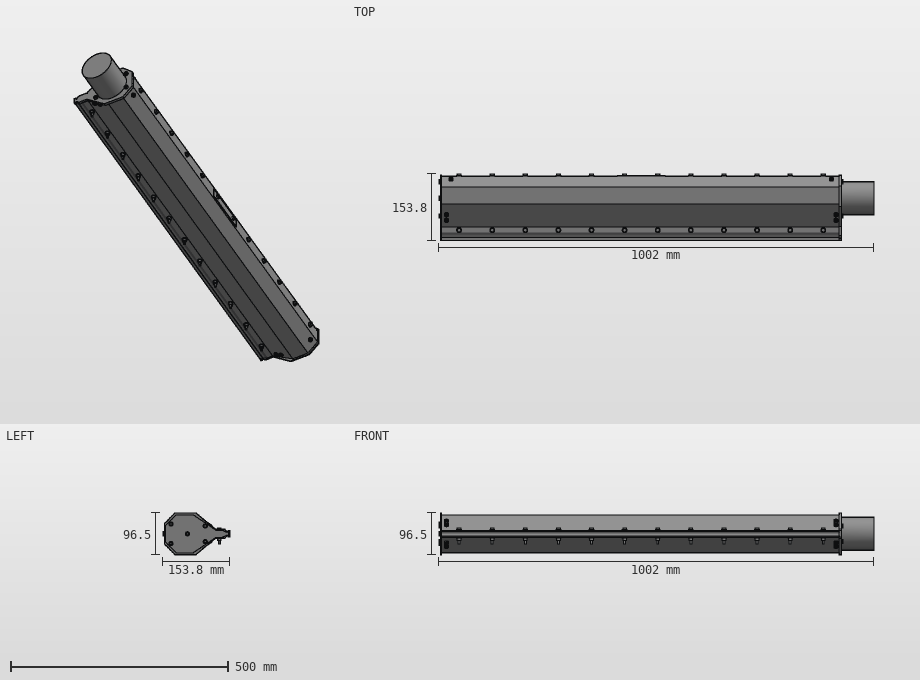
import cadquery as cq
import math


closed_plate_thickness = 2.3
open_plate_thickness = 5.9
body_length = 915.0
tube_diameter = 76.2
tube_end_x = 998.23
body_start = closed_plate_thickness
body_end = body_start + body_length
open_plate_outer = body_end + open_plate_thickness

fittings_shift = 2.1
fittings_centre_x = body_start + body_length / 2 + fittings_shift

front_y = -97.8
screw_joint_y = -73.5

body_back_y = 51.0
body_half_height = 43.7
body_bevel = 25.2
body_slope_top_y = -13.4
body_slope_foot_y = -66.0
body_lip_half = 8.0
body_shoulder_y = -80.0
body_shoulder_width = 2.5
body_shoulder_drop = 0.8
body_neck_y = -91.0
body_neck_half = 3.2
body_nose_half = 4.8
mouth_diameter = 10.5

plate_back_y = 53.0
plate_half_height = 48.26
plate_bevel = 24.5
plate_slope_top_y = -19.5
plate_slope_foot_y = -64.8
plate_lip_half = 10.5
plate_lip_end_y = -86.0
plate_neck_start_y = -91.5
plate_neck_end_y = -93.5
plate_neck_half = 4.5
plate_nose_half = 7.5

head_diameter = 9.5
head_height = 3.8
socket_across_flats = 4.8
socket_depth = 2.0
washer_diameter = 11.0
washer_thickness = 1.5
head_root = 2.0
back_head_top_y = 55.96

row_count = 12
row_pitch = 76.2
row_start_x = fittings_centre_x - (row_count - 1) * row_pitch / 2
lip_head_diameter = 8.5
lip_head_height = 5.5
nut_diameter = 8.5
nut_height = 7.0
stud_diameter = 4.5
stud_end_z = -24.0

slope_screw_span = 896.4
slope_screw_ys = (-36.8, -50.0)
bevel_screw_span = 875.4
bevel_screw_y = 42.5

plate_back_screw = (38.0, 22.5)
plate_front_screw = (-41.0, 18.0)

label_length = 110.0
label_height = 25.0
label_thickness = 1.5


def extrude_symmetric(upper_half, x_start, length):
    """Mirror an upper-half outline about Z = 0 and extrude it along X."""
    lower_half = [(y, -z) for y, z in reversed(upper_half) if z > 0]
    outline = upper_half + lower_half
    return cq.Workplane("YZ", origin=(x_start, 0, 0)).polyline(outline).close().extrude(length)


def cylinder(base, direction, diameter, height):
    return cq.Workplane(
        cq.Solid.makeCylinder(diameter / 2, height, cq.Vector(*base), cq.Vector(*direction))
    )


def along(start, direction, distance):
    return tuple(point + distance * step for point, step in zip(start, direction))


def socket_screw(seat, outward):
    """Hex-socket head standing on a face, with a short root that joins it to the face."""
    head = cylinder(along(seat, outward, -head_root), outward, head_diameter, head_height + head_root)
    top = cq.Plane(origin=along(seat, outward, head_height), normal=outward)
    across_corners = socket_across_flats / math.cos(math.radians(30))
    socket = cq.Workplane(top).polygon(6, across_corners).extrude(-socket_depth)
    return head.cut(socket)


def washer(seat, outward):
    """Washer lying on a face, with a short root that joins it to the face."""
    base = along(seat, outward, -head_root)
    return cylinder(base, outward, washer_diameter, washer_thickness + head_root)


def span_ends(span):
    return (fittings_centre_x - span / 2, fittings_centre_x + span / 2)


def make_body():
    """Duct housing tapering to a nose with a rounded groove along its front."""
    upper_half = [
        (body_back_y, body_half_height - body_bevel),
        (body_back_y - body_bevel, body_half_height),
        (body_slope_top_y, body_half_height),
        (body_slope_foot_y, body_lip_half),
        (body_shoulder_y, body_lip_half),
        (body_shoulder_y - body_shoulder_width, body_lip_half - body_shoulder_drop),
        (body_neck_y, body_neck_half),
        (body_neck_y, body_nose_half),
        (front_y, body_nose_half),
    ]
    mouth_radius = mouth_diameter / 2
    mouth_y = front_y - math.sqrt(mouth_radius**2 - body_nose_half**2)
    mouth = cylinder((body_start, mouth_y, 0), (1, 0, 0), mouth_diameter, body_length)
    return extrude_symmetric(upper_half, body_start, body_length).cut(mouth)


def make_end_plate(x_start, thickness):
    upper_half = [
        (plate_back_y, plate_half_height - plate_bevel),
        (plate_back_y - plate_bevel, plate_half_height),
        (plate_slope_top_y, plate_half_height),
        (plate_slope_foot_y, plate_lip_half),
        (plate_lip_end_y, plate_lip_half),
        (plate_neck_start_y, plate_neck_half),
        (plate_neck_end_y, plate_neck_half),
        (plate_neck_end_y, plate_nose_half),
        (front_y, plate_nose_half),
    ]
    return extrude_symmetric(upper_half, x_start, thickness)


def make_tube():
    return cylinder((body_end, 0, 0), (1, 0, 0), tube_diameter, tube_end_x - body_end)


def make_label():
    return (
        cq.Workplane("XZ", origin=(fittings_centre_x, body_back_y, 0))
        .rect(label_length, label_height)
        .extrude(-label_thickness)
    )


def make_row_screws():
    """Screws through the lip and screws on the back face, at the same pitch."""
    lip_head_span = body_lip_half + lip_head_height
    nut_span = body_lip_half + nut_height
    pieces = []
    for index in range(row_count):
        x = row_start_x + index * row_pitch
        pieces.append(cylinder((x, screw_joint_y, 0), (0, 0, 1), lip_head_diameter, lip_head_span))
        pieces.append(cylinder((x, screw_joint_y, 0), (0, 0, -1), nut_diameter, nut_span))
        pieces.append(cylinder((x, screw_joint_y, 0), (0, 0, -1), stud_diameter, -stud_end_z))
        pieces.append(cylinder((x, 0, 0), (0, 1, 0), head_diameter, back_head_top_y))
        pieces.append(washer((x, body_back_y, 0), (0, 1, 0)))
        pieces.append(washer((x, screw_joint_y, body_lip_half), (0, 0, 1)))
        pieces.append(washer((x, screw_joint_y, -body_lip_half), (0, 0, -1)))
    return pieces


def make_side_screws():
    """Screws near both ends of the front slopes and of the back bevels."""
    slope_run = body_slope_top_y - body_slope_foot_y
    slope_drop = body_half_height - body_lip_half
    slope_length = math.hypot(slope_run, slope_drop)
    bevel_normal = math.sqrt(0.5)
    pieces = []
    for side in (1, -1):
        slope_outward = (0, -slope_drop / slope_length, side * slope_run / slope_length)
        for x in span_ends(slope_screw_span):
            for y in slope_screw_ys:
                z = body_lip_half + (y - body_slope_foot_y) * slope_drop / slope_run
                pieces.append(socket_screw((x, y, side * z), slope_outward))
        bevel_z = body_half_height - (bevel_screw_y - (body_back_y - body_bevel))
        for x in span_ends(bevel_screw_span):
            seat = (x, bevel_screw_y, side * bevel_z)
            pieces.append(socket_screw(seat, (0, bevel_normal, side * bevel_normal)))
    return pieces


def make_plate_screws():
    """Four screws on each end plate and a central one on the closed plate."""
    pieces = [socket_screw((0, 0, 0), (-1, 0, 0))]
    for y, z in (plate_back_screw, plate_front_screw):
        for side in (1, -1):
            pieces.append(socket_screw((0, y, side * z), (-1, 0, 0)))
            pieces.append(socket_screw((open_plate_outer, y, side * z), (1, 0, 0)))
    return pieces


result = make_body()
result = result.union(make_end_plate(0, closed_plate_thickness))
result = result.union(make_end_plate(body_end, open_plate_thickness))
result = result.union(make_tube())
result = result.union(make_label())
for screw in make_row_screws() + make_side_screws() + make_plate_screws():
    result = result.union(screw)